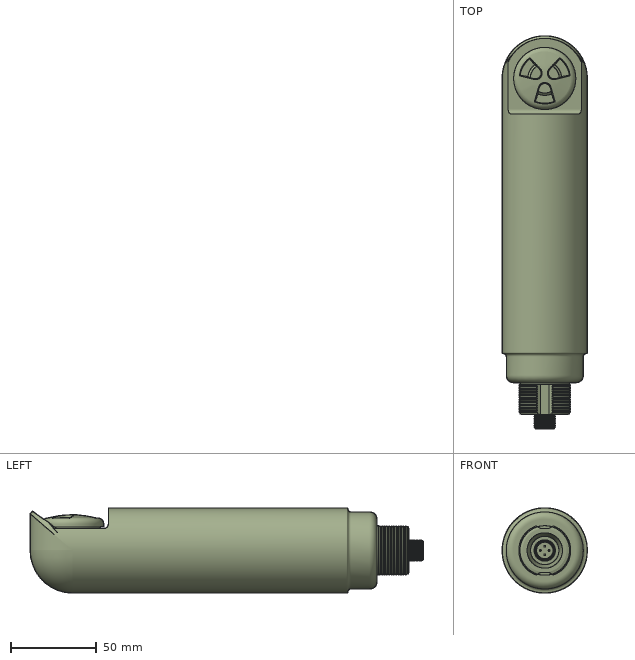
import cadquery as cq
import math

LENGTH = 230.8
BODY_DIAMETER = 50.0
BODY_R = BODY_DIAMETER / 2
BODY_START = 44.3
DOME_Y = LENGTH - BODY_R
EDGE_ROUND = 0.58

COLLAR_R = 22.5
COLLAR_START = 27.2
COLLAR_ROUND = 4.2
COLLAR_FLARE = BODY_R - COLLAR_R - EDGE_ROUND

HOOD_WALL = 1.5
HOOD_BEVEL = 3.5
SEAT_Z = 13.0
SEAT_START = 184.8
SEAT_FILLET = 2.8

NECK_R = 16.2
BUTTON_R = 18.2
BUTTON_BOTTOM = 13.8
BUTTON_EDGE_TOP = 15.5
CROWN_R = 15.7
CROWN_EDGE_Z = 19.0
CROWN_TOP = 21.0
NECK_SINK = 1.2

PETAL_COUNT = 3
PETAL_TIP = 3.5
PETAL_SHOULDER = 5.0
PETAL_SHOULDER_HALF = 2.5
PETAL_OUTER = 14.5
PETAL_OUTER_HALF = 5.5
PETAL_STEP_R = 10.0
PETAL_STEP_TAPER = 45
PETAL_WALL_TAPER = 20
PETAL_STEP_FLOOR = 19.4
PETAL_FLOOR = 18.0

SLEEVE_END = 8.5
SLEEVE_ROOT_R = 14.5
SLEEVE_CREST_R = 15.2
SLEEVE_PITCH = 1.4
SLEEVE_TEETH = 12
SLEEVE_RELIEF = 1.0
SLEEVE_LEAD = 0.5
SLEEVE_RIM_R = 13.0
KEYWAY_FLOOR = 13.0
KEYWAY_FLOOR_HALF = 2.5
KEYWAY_TOP_HALF = 6.2
SLEEVE_BORE_R = 10.4
SLEEVE_BORE_FLOOR_R = 8.3
SLEEVE_BORE_DEPTH = 9.2

PLUG_ROOT_R = 5.8
PLUG_CREST_R = 6.2
PLUG_PITCH = 1.04
PLUG_TEETH = 8
PLUG_LEAD = 0.5
PLUG_PLAIN = 0.2
PLUG_TIP_R = 5.3
PLUG_BORE_R = 4.8
PLUG_BORE_DEPTH = 7.0
PIN_COUNT = 4
PIN_R = 0.5
PIN_CIRCLE_R = 2.5
PIN_LENGTH = 5.5


def y_cylinder(radius, start, end):
    """Cylinder about the Y axis from y = start to y = end."""
    return cq.Workplane("XZ", origin=(0, start, 0)).circle(radius).extrude(start - end)


def threaded_rod(start, end, root, crest, pitch, teeth, first, tip_r, lead):
    """Rod about the Y axis with ring-shaped V teeth from y = first and a bevelled tip."""
    points = [(0, start), (tip_r, start), (root, start + lead)]
    for i in range(teeth):
        tooth = first + i * pitch
        points += [(root, tooth), (crest, tooth + pitch / 2)]
    points += [(root, first + teeth * pitch), (root, end), (0, end)]
    return cq.Workplane("XY").polyline(points).close().revolve(360, (0, 0, 0), (0, 1, 0))


def make_body():
    """Cylinder whose end is spherical below mid height and an upright cylinder above it."""
    barrel = y_cylinder(BODY_R, BODY_START, DOME_Y)
    barrel = barrel.faces("<Y").edges().fillet(EDGE_ROUND)
    dome = cq.Workplane("XY", origin=(0, DOME_Y, 0)).sphere(BODY_R)
    upright = cq.Workplane("XY", origin=(0, DOME_Y, 0)).circle(BODY_R).extrude(BODY_R)
    bevel_distance = (2 * BODY_R - HOOD_BEVEL) / math.sqrt(2)
    diagonal = cq.Plane(origin=(0, DOME_Y, 0), xDir=(1, 0, 0), normal=(0, -1, 1))
    bevel = cq.Workplane(diagonal).ellipse(BODY_R, bevel_distance).extrude(2 * BODY_R, both=True)
    hood = y_cylinder(BODY_R, DOME_Y, LENGTH).intersect(upright).intersect(bevel)
    return barrel.union(dome).union(hood)


def make_collar():
    """Round-ended collar with a concave flare running up to the body's front face."""
    profile = (
        cq.Workplane("XY")
        .moveTo(0, COLLAR_START)
        .lineTo(COLLAR_R - COLLAR_ROUND, COLLAR_START)
        .radiusArc((COLLAR_R, COLLAR_START + COLLAR_ROUND), -COLLAR_ROUND)
        .lineTo(COLLAR_R, BODY_START - COLLAR_FLARE)
        .radiusArc((COLLAR_R + COLLAR_FLARE, BODY_START), COLLAR_FLARE)
        .lineTo(COLLAR_R, BODY_START + EDGE_ROUND)
        .lineTo(0, BODY_START + EDGE_ROUND)
        .close()
    )
    return profile.revolve(360, (0, 0, 0), (0, 1, 0))


def make_seat_cut():
    """Flat-floored recess for the button: square at the front, round inside the hood."""
    width = 2 * BODY_R
    step = (
        cq.Workplane("XY", origin=(0, 0, SEAT_Z))
        .center(0, (SEAT_START + DOME_Y) / 2)
        .rect(width, DOME_Y - SEAT_START)
        .extrude(BODY_R)
    )
    step = step.edges("<Y and <Z").fillet(SEAT_FILLET)
    hood_r = BODY_R - HOOD_WALL
    inside_hood = (
        cq.Workplane("XY", origin=(0, DOME_Y, SEAT_Z))
        .moveTo(hood_r, 0)
        .threePointArc((0, hood_r), (-hood_r, 0))
        .close()
        .extrude(BODY_R)
    )
    return step.union(inside_hood)


def make_button():
    """Domed button on a short neck."""
    crown_rise = CROWN_TOP - CROWN_EDGE_Z
    crown_sphere_r = (CROWN_R**2 + crown_rise**2) / (2 * crown_rise)
    profile = (
        cq.Workplane("XZ")
        .moveTo(0, SEAT_Z - NECK_SINK)
        .lineTo(NECK_R, SEAT_Z - NECK_SINK)
        .lineTo(NECK_R, BUTTON_BOTTOM)
        .lineTo(BUTTON_R, BUTTON_BOTTOM)
        .lineTo(BUTTON_R, BUTTON_EDGE_TOP)
        .tangentArcPoint((CROWN_R, CROWN_EDGE_Z), relative=False)
        .radiusArc((0, CROWN_TOP), -crown_sphere_r)
        .close()
    )
    return profile.revolve(360, (0, 0, 0), (0, 1, 0)).translate((0, DOME_Y, 0))


def make_petals():
    """Petal pockets around the button, each stepped along an arc about the button centre."""
    outer_corner = -math.sqrt(PETAL_OUTER**2 - PETAL_OUTER_HALF**2)
    petal = (
        cq.Workplane("XY", origin=(0, 0, PETAL_FLOOR))
        .moveTo(-PETAL_SHOULDER_HALF, -PETAL_SHOULDER)
        .threePointArc((0, -PETAL_TIP), (PETAL_SHOULDER_HALF, -PETAL_SHOULDER))
        .lineTo(PETAL_OUTER_HALF, outer_corner)
        .threePointArc((0, -PETAL_OUTER), (-PETAL_OUTER_HALF, outer_corner))
        .close()
        .extrude(CROWN_TOP - PETAL_FLOOR, taper=-PETAL_WALL_TAPER)
    )
    shelf = (
        cq.Workplane("XY", origin=(0, 0, PETAL_FLOOR))
        .circle(PETAL_STEP_R)
        .extrude(PETAL_STEP_FLOOR - PETAL_FLOOR, taper=PETAL_STEP_TAPER)
    )
    pocket = petal.cut(shelf).translate((0, DOME_Y, 0))
    pockets = cq.Workplane("XY")
    for i in range(PETAL_COUNT):
        turn = i * 360 / PETAL_COUNT
        pockets = pockets.union(pocket.rotate((0, DOME_Y, 0), (0, DOME_Y, 1), turn))
    return pockets


def make_sleeve():
    """Externally threaded sleeve with a keyway above and below and a tapered bore."""
    first_tooth = COLLAR_START - SLEEVE_RELIEF - SLEEVE_TEETH * SLEEVE_PITCH
    sleeve = threaded_rod(
        SLEEVE_END, COLLAR_START, SLEEVE_ROOT_R, SLEEVE_CREST_R, SLEEVE_PITCH, SLEEVE_TEETH,
        first_tooth, SLEEVE_RIM_R, SLEEVE_LEAD,
    )
    slope = (KEYWAY_TOP_HALF - KEYWAY_FLOOR_HALF) / (SLEEVE_CREST_R - KEYWAY_FLOOR)
    mouth_half = KEYWAY_FLOOR_HALF + slope * (BODY_R - KEYWAY_FLOOR)
    keyway = (
        cq.Workplane("XZ", origin=(0, COLLAR_START - SLEEVE_RELIEF, 0))
        .polyline([
            (-KEYWAY_FLOOR_HALF, KEYWAY_FLOOR),
            (KEYWAY_FLOOR_HALF, KEYWAY_FLOOR),
            (mouth_half, BODY_R),
            (-mouth_half, BODY_R),
        ])
        .close()
        .extrude(COLLAR_START)
    )
    bore = (
        cq.Workplane("XY")
        .polyline([
            (0, SLEEVE_END),
            (SLEEVE_BORE_R, SLEEVE_END),
            (SLEEVE_BORE_FLOOR_R, SLEEVE_END + SLEEVE_BORE_DEPTH),
            (0, SLEEVE_END + SLEEVE_BORE_DEPTH),
        ])
        .close()
        .revolve(360, (0, 0, 0), (0, 1, 0))
    )
    return sleeve.cut(keyway).cut(keyway.mirror("XY")).cut(bore)


def make_plug():
    """Threaded plug with a hollow end and a ring of contact pins."""
    plug_back = SLEEVE_END + SLEEVE_BORE_DEPTH
    first_tooth = PLUG_LEAD + PLUG_PLAIN
    plug = threaded_rod(
        0, plug_back, PLUG_ROOT_R, PLUG_CREST_R, PLUG_PITCH, PLUG_TEETH,
        first_tooth, PLUG_TIP_R, PLUG_LEAD,
    )
    plug = plug.cut(y_cylinder(PLUG_BORE_R, 0, PLUG_BORE_DEPTH))
    for i in range(PIN_COUNT):
        angle = i * 2 * math.pi / PIN_COUNT
        pin = y_cylinder(PIN_R, PLUG_BORE_DEPTH - PIN_LENGTH, PLUG_BORE_DEPTH)
        place = (PIN_CIRCLE_R * math.cos(angle), 0, PIN_CIRCLE_R * math.sin(angle))
        plug = plug.union(pin.translate(place))
    return plug


result = (
    make_body()
    .cut(make_seat_cut())
    .union(make_button())
    .cut(make_petals())
    .union(make_collar())
    .union(make_sleeve())
    .union(make_plug())
)